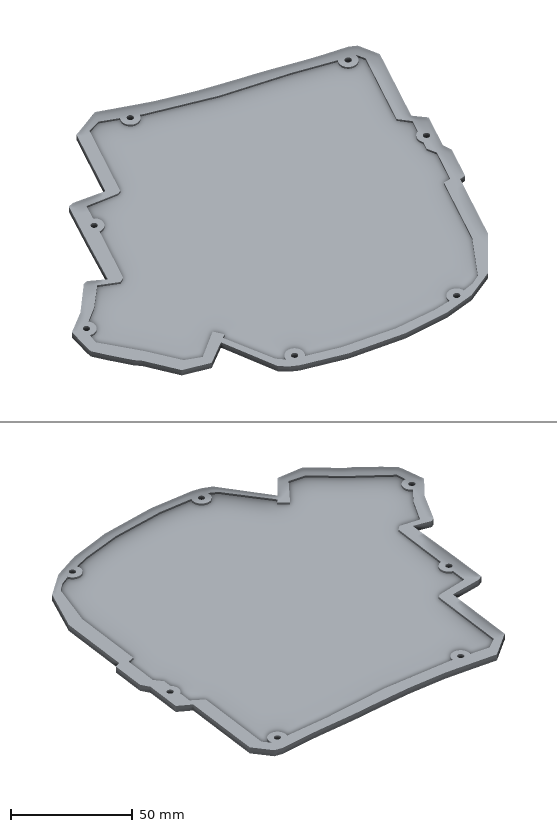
import cadquery as cq


width = 173.31
length = 184.2
thickness = 3.0

recess_depth = 1.0
hole_diameter = 3.0
pad_radius = 4.25

top_edge = 181.6
upper_left_edge = 175.2
lower_left_edge = 41.1
thumb_right = 159.9

outer_outline = [
    (8.5, upper_left_edge),
    (47.6, upper_left_edge),
    (51.0, top_edge),
    (68.5, top_edge),
    (72.3, length),
    (88.9, length),
    (90.1, top_edge),
    (125.0, top_edge),
    (146.9, 173.9),
    (157.2, 163.0),
    (163.7, 150.0),
    (169.7, 129.8),
    (width, 103.5),
    (width, 82.0),
    (172.6, 78.0),
    (170.8, 73.4),
    (149.6, 56.0),
    (thumb_right, 48.3),
    (thumb_right, 35.2),
    (149.2, 21.7),
    (147.6, 18.4),
    (141.2, 9.4),
    (136.8, 3.6),
    (134.2, 2.7),
    (123.4, 0.0),
    (113.5, 7.2),
    (97.6, 14.3),
    (96.6, 16.1),
    (98.4, 24.5),
    (74.0, 24.0),
    (51.9, 23.8),
    (50.5, 26.3),
    (48.3, lower_left_edge),
    (12.3, lower_left_edge),
    (11.4, 42.3),
    (2.2, 52.7),
    (2.8, 59.8),
    (3.7, 71.2),
    (4.2, 78.5),
    (4.2, 96.4),
    (3.8, 104.0),
    (3.1, 115.6),
    (2.6, 122.1),
    (2.2, 129.7),
    (1.6, 145.2),
    (1.2, 151.5),
    (0.0, 164.3),
    (0.7, 168.3),
]

recess_top = 174.6
recess_upper_left = 168.8
recess_raised_top = 177.8
recess_right = 168.8
recess_bottom = 30.8
recess_lower_left = 46.9
recess_left = 10.0

recess_outline = [
    (9.0, recess_upper_left),
    (47.5, recess_upper_left),
    (50.9, recess_top),
    (68.4, recess_top),
    (72.0, recess_raised_top),
    (88.7, recess_raised_top),
    (89.8, recess_top),
    (125.0, recess_top),
    (147.1, 169.3),
    (150.8, 165.7),
    (156.4, 155.9),
    (160.5, 145.7),
    (165.6, 127.0),
    (recess_right, 102.2),
    (recess_right, 79.0),
    (166.2, 73.9),
    (147.2, 57.6),
    (145.6, 59.2),
    (142.3, 54.9),
    (155.3, 46.0),
    (154.5, 38.0),
    (144.0, 24.5),
    (132.4, 7.3),
    (123.7, 5.7),
    (112.8, 13.4),
    (100.4, 19.2),
    (101.7, 28.9),
    (99.7, recess_bottom),
    (54.2, recess_bottom),
    (51.4, 45.6),
    (50.3, recess_lower_left),
    (12.1, recess_lower_left),
    (8.1, 52.2),
    (recess_left, 70.5),
    (recess_left, 104.5),
    (7.0, 137.0),
    (6.1, 160.0),
    (5.9, 166.0),
]

screw_positions = [
    (60.8, 177.2),
    (7.5, 161.7),
    (155.4, 157.1),
    (167.0, 82.1),
    (10.2, 65.4),
    (66.1, 29.9),
    (123.3, 6.4),
]


def prism(outline, base, height):
    """Straight prism standing on the level `base`."""
    return cq.Workplane("XY").workplane(offset=base).polyline(outline).close().extrude(height)


def discs(radius, base, height):
    """One upright cylinder at every screw."""
    centres = cq.Workplane("XY").workplane(offset=base).pushPoints(screw_positions)
    return centres.circle(radius).extrude(height)


floor_level = thickness - recess_depth

plate = prism(outer_outline, 0, thickness)
recess = prism(recess_outline, floor_level, recess_depth)
pads = discs(pad_radius, floor_level, recess_depth)
screw_holes = discs(hole_diameter / 2, 0, thickness)

result = plate.cut(recess.cut(pads)).cut(screw_holes)